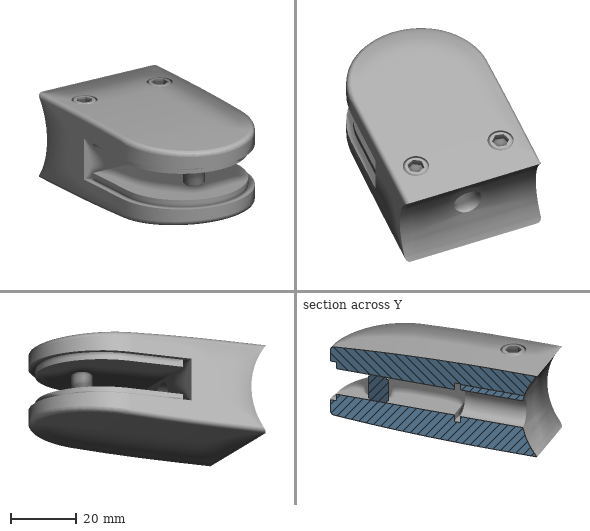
import cadquery as cq
import math

length = 68.3
width = 45.0
height = 28.0
nose_radius = width / 2
nose_x = length - nose_radius
edge_radius = 1.5

crown_start_x = 13.25
crown_radius = 682.8

post_radius = 21.2
seat_depth = post_radius - math.sqrt(post_radius**2 - (height / 2) ** 2)
post_center_x = seat_depth - post_radius
bore_diameter = 9.1

slot_x = 25.5
slot_height = 13.25
pad_x = 27.3
pad_inset = 2.05
pad_gap = 8.7

pin_x = 52.4
pin_diameter = 6.7
pin_neck_diameter = 5.7
pin_neck_height = 0.55

screw_x = crown_start_x
screw_y = 14.0
screw_diameter = 8.0
screw_rim = 0.7
rim_depth = 0.7
socket_across_corners = 5.3
socket_depth = 2.05
screw_turns = {screw_y: -2.0, -screw_y: 19.0}


def crown_height(x):
    """Height of the upper crown arc at a position along X."""
    reach = x - crown_start_x
    return height / 2 - crown_radius + math.sqrt(crown_radius**2 - reach**2)


def round_nosed_plate(start_x, inset, bottom, top):
    """Plate with a square start and a semicircular nose."""
    half_width = width / 2 - inset
    return (
        cq.Workplane("XY")
        .workplane(offset=bottom)
        .moveTo(start_x, -half_width)
        .lineTo(nose_x, -half_width)
        .threePointArc((nose_x + half_width, 0), (nose_x, half_width))
        .lineTo(start_x, half_width)
        .close()
        .extrude(top - bottom)
    )


def crowned_side():
    """Side profile with both outer faces bending inward toward the nose."""
    middle_x = (crown_start_x + length) / 2
    middle_z = crown_height(middle_x)
    end_z = crown_height(length)
    return (
        cq.Workplane("XZ")
        .moveTo(0, height / 2)
        .lineTo(crown_start_x, height / 2)
        .threePointArc((middle_x, middle_z), (length, end_z))
        .lineTo(length, -end_z)
        .threePointArc((middle_x, -middle_z), (crown_start_x, -height / 2))
        .lineTo(0, -height / 2)
        .close()
        .extrude(width / 2, both=True)
    )


def clamp_blank():
    """Complete clamp outline, before it is divided into base and cover."""
    blank = round_nosed_plate(0, 0, -height / 2, height / 2).intersect(crowned_side())
    return blank.edges("not(|Y or |Z)").fillet(edge_radius)


def post_seat():
    """Cylinder that hollows the end of the clamp."""
    return (
        cq.Workplane("XZ")
        .center(post_center_x, 0)
        .circle(post_radius)
        .extrude(width, both=True)
    )


def pad(bottom, top):
    """Raised pad on one face of the slot."""
    return round_nosed_plate(pad_x, pad_inset, bottom, top)


def cover_region():
    """Block that holds everything above the split between base and cover."""
    region = cq.Workplane("XY").box(length, width, height, centered=(False, True, False))
    return region.translate((0, 0, slot_height / 2))


def make_base(blank):
    """Lower jaw with the solid block behind the slot and the lower pad."""
    slot = cq.Workplane("XY").box(length, width, slot_height, centered=(False, True, True))
    slot = slot.translate((slot_x, 0, 0))
    bore = cq.Workplane("YZ").circle(bore_diameter / 2).extrude(slot_x)
    base = blank.cut(cover_region()).cut(slot).cut(bore)
    return base.union(pad(-slot_height / 2, -pad_gap / 2))


def rim_groove(y):
    """Groove around a screw head: upright outer wall, sloping inner wall."""
    outer = screw_diameter / 2
    return (
        cq.Workplane("XZ")
        .moveTo(outer - screw_rim, 0)
        .lineTo(outer, 0)
        .lineTo(outer, -rim_depth)
        .close()
        .revolve(360, (0, 0, 0), (0, 1, 0))
        .translate((screw_x, y, height / 2))
    )


def hex_socket(y, turn):
    """Hexagonal recess in a screw head."""
    return (
        cq.Workplane("XY")
        .polygon(6, socket_across_corners)
        .extrude(-socket_depth)
        .rotate((0, 0, 0), (0, 0, 1), turn)
        .translate((screw_x, y, height / 2))
    )


def make_cover(blank):
    """Upper jaw with its pad and the two screw heads."""
    cover = blank.intersect(cover_region()).union(pad(pad_gap / 2, slot_height / 2))
    for y, turn in screw_turns.items():
        cover = cover.cut(rim_groove(y)).cut(hex_socket(y, turn))
    return cover


def make_pin():
    """Pin with a narrower neck at each end, touching both pads."""
    barrel_height = pad_gap - 2 * pin_neck_height
    pin = (
        cq.Workplane("XY")
        .workplane(offset=-barrel_height / 2)
        .circle(pin_diameter / 2)
        .extrude(barrel_height)
    )
    for end in (">Z", "<Z"):
        pin = pin.faces(end).workplane().circle(pin_neck_diameter / 2).extrude(pin_neck_height)
    return pin.translate((pin_x, 0, 0))



clamp = clamp_blank().cut(post_seat())
base = make_base(clamp)
cover = make_cover(clamp)
pin = make_pin()

result = cq.Compound.makeCompound([base.val(), cover.val(), pin.val()])